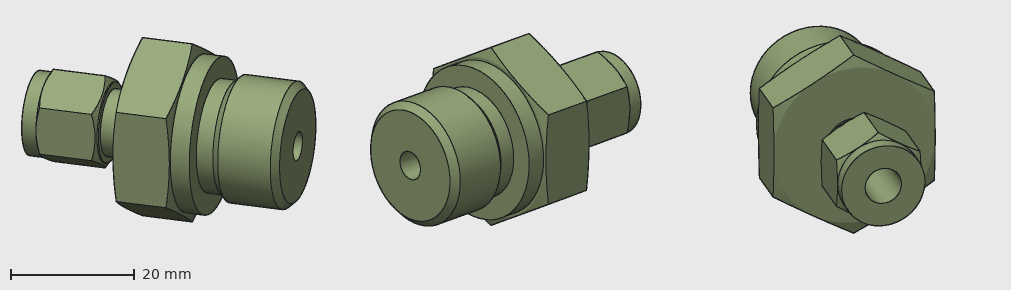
import cadquery as cq
import math

collar_end = 2.45
collar_diameter = 13.95
nut_end = 12.75
nut_across_flats = 14.0
nut_chamfer_angle = 30
nut_back_diameter = 13.28
nut_lip_end = 12.95

shoulder_end = 15.7
shoulder_diameter = 11.15
neck_end = 17.7
neck_diameter = 9.6

hex_end = 27.3
hex_across_flats = 27.0
hex_chamfer_angle = 15
flange_end = 30.55
flange_diameter = 25.93

undercut_end = 33.35
undercut_diameter = 18.7
thread_diameter = 20.95
thread_chamfer_length = 1.2
total_length = 44.7

bore_diameter = 4.8
tube_socket_diameter = 6.1
tube_socket_depth = nut_lip_end


def cylinder(start, end, diameter):
    """Cylinder along X between two stations."""
    return cq.Workplane("YZ", origin=(start, 0, 0)).circle(diameter / 2).extrude(end - start)


def revolve_profile(points):
    """Solid of revolution from (station, radius) points closed along the X axis."""
    return cq.Workplane("XY").polyline(points).close().revolve(360, (0, 0, 0), (1, 0, 0))


def chamfered_hexagon(start, end, across_flats, front_diameter, back_diameter, chamfer_angle):
    """Hexagonal prism along X, corners up and down in Z, with conical corner chamfers."""
    across_corners = across_flats * 2 / math.sqrt(3)
    corner_radius = across_corners / 2
    prism = (
        cq.Workplane("YZ", origin=(start, 0, 0))
        .polygon(6, across_corners)
        .extrude(end - start)
        .rotate((0, 0, 0), (1, 0, 0), 90)
    )
    chamfer_slope = math.tan(math.radians(chamfer_angle))
    front_depth = (corner_radius - front_diameter / 2) * chamfer_slope
    back_depth = (corner_radius - back_diameter / 2) * chamfer_slope
    envelope = revolve_profile([
        (start, 0),
        (start, front_diameter / 2),
        (start + front_depth, corner_radius),
        (end - back_depth, corner_radius),
        (end, back_diameter / 2),
        (end, 0),
    ])
    return prism.intersect(envelope)


def threaded_end():
    """Plain thread cylinder with a chamfer at each end."""
    root_radius = undercut_diameter / 2
    return revolve_profile([
        (undercut_end, 0),
        (undercut_end, root_radius),
        (undercut_end + thread_chamfer_length, thread_diameter / 2),
        (total_length - thread_chamfer_length, thread_diameter / 2),
        (total_length, root_radius),
        (total_length, 0),
    ])


result = cylinder(0, collar_end, collar_diameter)
result = result.union(chamfered_hexagon(
    collar_end, nut_end, nut_across_flats,
    collar_diameter, nut_back_diameter, nut_chamfer_angle,
))
result = result.union(cylinder(nut_end, nut_lip_end, nut_back_diameter))

result = result.union(cylinder(nut_lip_end, shoulder_end, shoulder_diameter))
result = result.union(cylinder(shoulder_end, neck_end, neck_diameter))
result = result.union(chamfered_hexagon(
    neck_end, hex_end, hex_across_flats,
    hex_across_flats, hex_across_flats, hex_chamfer_angle,
))
result = result.union(cylinder(hex_end, flange_end, flange_diameter))
result = result.union(cylinder(flange_end, undercut_end, undercut_diameter))
result = result.union(threaded_end())

result = result.cut(cylinder(0, total_length, bore_diameter))
result = result.cut(cylinder(0, tube_socket_depth, tube_socket_diameter))